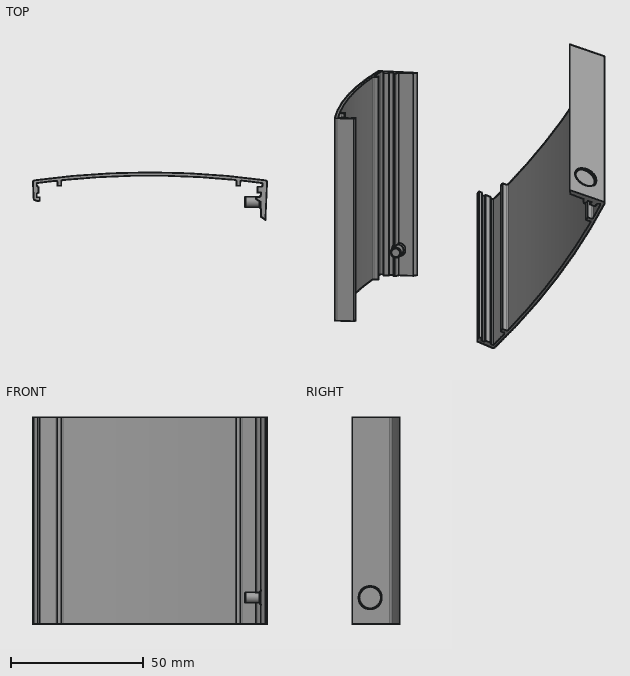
import cadquery as cq

WIDTH = 88.4
LENGTH = 78.0
DEPTH = 18.0
HALF_WIDTH = WIDTH / 2

CORNER_DROP = 3.1
CORNER_RADIUS = 0.9
CROWN_THICKNESS = 1.3
INNER_EDGE_DROP = 4.15

WALL_LEAN = 0.045
LEAN_START_Y = -CORNER_DROP - CORNER_RADIUS
LEFT_INNER_X = -42.7
RIGHT_INNER_X = 41.8
RIGHT_NOTCH_X = 42.4
NOTCH_RADIUS = 0.4

LIP_X = -41.5
LIP_CORNER = 0.3
LIP_TOP_Y = -9.4
LIP_TIP_Y = -10.8
LIP_HEEL_Y = -11.0
LIP_HEEL_X = -42.4
LEFT_WALL_END_Y = -10.3

STRIP_TOP_Y = -5.4
STRIP_BOTTOM_Y = -7.7
LEFT_STRIP_X = -42.0
RIGHT_STRIP_X = 40.5
STRIP_CORNER = 0.35

NIB_X = 39.9
NIB_TOP_Y = -9.1
NIB_TIP_TOP_Y = -9.6
NIB_TIP_BOTTOM_Y = -10.0
NIB_TIP_CORNER = 0.35
NIB_BOTTOM_Y = -11.2
BEVEL_START_Y = -16.8

RIB_WIDTH = 1.5
RIB_ROOT_RADIUS = 0.5
RIB_END_Y = -5.1
RIB_BURIED_Y = -2.65
RIB_CENTERS_X = (-34.2, 33.3)

SCREW_Y = -11.2
SCREW_Z = 10.0
SHANK_DIAMETER = 4.0
HEAD_DIAMETER = 8.0
SCREW_TIP_X = 35.7
HEAD_CONE_START_X = 41.2
TIP_CHAMFER = 0.35
RECESS_DIAMETER = 8.8
SHANK_RADIUS = SHANK_DIAMETER / 2
HEAD_RADIUS = HEAD_DIAMETER / 2
HEAD_HEIGHT = HEAD_RADIUS - SHANK_RADIUS
HEAD_X = HEAD_CONE_START_X + HEAD_HEIGHT

SELECT_MARGIN = 0.1


def right_outer_x(y):
    """X of the leaning outer face of the right wall at a given Y."""
    return HALF_WIDTH + WALL_LEAN * (y - LEAN_START_Y)


def left_outer_x(y):
    return -right_outer_x(y)


def make_panel():
    """Arched panel with both side walls, extruded along Z."""
    profile = (
        cq.Workplane("XY")
        .moveTo(-HALF_WIDTH, -CORNER_DROP)
        .threePointArc((0, 0), (HALF_WIDTH, -CORNER_DROP))
        .lineTo(HALF_WIDTH, LEAN_START_Y)
        .lineTo(right_outer_x(-DEPTH), -DEPTH)
        .lineTo(RIGHT_INNER_X, BEVEL_START_Y)
        .lineTo(RIGHT_INNER_X, NIB_BOTTOM_Y)
        .lineTo(NIB_X + NIB_TIP_CORNER, NIB_TIP_BOTTOM_Y - NIB_TIP_CORNER)
        .lineTo(NIB_X, NIB_TIP_BOTTOM_Y)
        .lineTo(NIB_X, NIB_TIP_TOP_Y)
        .lineTo(RIGHT_INNER_X, NIB_TOP_Y)
        .lineTo(RIGHT_INNER_X, STRIP_BOTTOM_Y)
        .lineTo(RIGHT_STRIP_X, STRIP_BOTTOM_Y)
        .lineTo(RIGHT_STRIP_X, STRIP_TOP_Y - STRIP_CORNER)
        .lineTo(RIGHT_STRIP_X + STRIP_CORNER, STRIP_TOP_Y)
        .lineTo(RIGHT_NOTCH_X, STRIP_TOP_Y)
        .lineTo(RIGHT_NOTCH_X, -INNER_EDGE_DROP)
        .threePointArc((0, -CROWN_THICKNESS), (LEFT_INNER_X, -INNER_EDGE_DROP))
        .lineTo(LEFT_INNER_X, STRIP_TOP_Y + STRIP_CORNER)
        .lineTo(LEFT_STRIP_X, STRIP_TOP_Y - STRIP_CORNER)
        .lineTo(LEFT_STRIP_X, STRIP_BOTTOM_Y)
        .lineTo(LEFT_INNER_X, STRIP_BOTTOM_Y - STRIP_CORNER)
        .lineTo(LEFT_INNER_X, LIP_TOP_Y)
        .lineTo(LIP_X - LIP_CORNER, LIP_TOP_Y)
        .lineTo(LIP_X, LIP_TOP_Y - LIP_CORNER)
        .lineTo(LIP_X, LIP_TIP_Y)
        .lineTo(LIP_HEEL_X, LIP_HEEL_Y)
        .lineTo(left_outer_x(LEFT_WALL_END_Y), LEFT_WALL_END_Y)
        .lineTo(-HALF_WIDTH, LEAN_START_Y)
        .close()
    )
    panel = profile.extrude(LENGTH)
    outer_corners = cq.selectors.BoxSelector(
        (-HALF_WIDTH - SELECT_MARGIN, -CORNER_DROP - SELECT_MARGIN, 0),
        (HALF_WIDTH + SELECT_MARGIN, -CORNER_DROP + SELECT_MARGIN, LENGTH),
    )
    panel = panel.edges("|Z").edges(outer_corners).fillet(CORNER_RADIUS)
    notch_corners = cq.selectors.BoxSelector(
        (RIGHT_NOTCH_X - SELECT_MARGIN, STRIP_TOP_Y - SELECT_MARGIN, 0),
        (RIGHT_NOTCH_X + SELECT_MARGIN, -INNER_EDGE_DROP + SELECT_MARGIN, LENGTH),
    )
    return panel.edges("|Z").edges(notch_corners).fillet(NOTCH_RADIUS)


def make_rib(center_x):
    """Rib standing on the underside of the arch; its root is buried in the panel."""
    root_y = RIB_BURIED_Y
    return (
        cq.Workplane("XY")
        .center(center_x, (root_y + RIB_END_Y) / 2)
        .rect(RIB_WIDTH, root_y - RIB_END_Y)
        .extrude(LENGTH)
    )


def round_rib_roots(body):
    """Fillet the two root edges of each rib."""
    for center_x in RIB_CENTERS_X:
        half_box = RIB_WIDTH / 2 + SELECT_MARGIN
        roots = cq.selectors.BoxSelector(
            (center_x - half_box, RIB_END_Y + SELECT_MARGIN, 0),
            (center_x + half_box, -CROWN_THICKNESS, LENGTH),
        )
        body = body.edges("|Z").edges(roots).fillet(RIB_ROOT_RADIUS)
    return body


def revolve_about_screw_axis(points):
    """Solid of revolution from (x, radius) points; the screw axis runs along X."""
    solid = cq.Workplane("XY").polyline(points).close().revolve(360, (0, 0, 0), (1, 0, 0))
    return solid.translate((0, SCREW_Y, SCREW_Z))


def make_screw():
    """Screw with a chamfered tip and a flat countersunk head sunk below the outer face."""
    return revolve_about_screw_axis([
        (SCREW_TIP_X, 0),
        (SCREW_TIP_X, SHANK_RADIUS - TIP_CHAMFER),
        (SCREW_TIP_X + TIP_CHAMFER, SHANK_RADIUS),
        (HEAD_CONE_START_X, SHANK_RADIUS),
        (HEAD_X, HEAD_RADIUS),
        (HEAD_X, 0),
    ])


def make_screw_hole():
    """Shank hole and countersink that fit the screw, opening into a round recess in the outer face."""
    return revolve_about_screw_axis([
        (SCREW_TIP_X, 0),
        (SCREW_TIP_X, SHANK_RADIUS),
        (HEAD_CONE_START_X, SHANK_RADIUS),
        (HEAD_X, HEAD_RADIUS),
        (HEAD_X, RECESS_DIAMETER / 2),
        (HALF_WIDTH, RECESS_DIAMETER / 2),
        (HALF_WIDTH, 0),
    ])


cover = make_panel()
for rib_x in RIB_CENTERS_X:
    cover = cover.union(make_rib(rib_x))
cover = round_rib_roots(cover)
cover = cover.cut(make_screw_hole())

screw = make_screw()

result = cq.Compound.makeCompound([cover.val(), screw.val()])